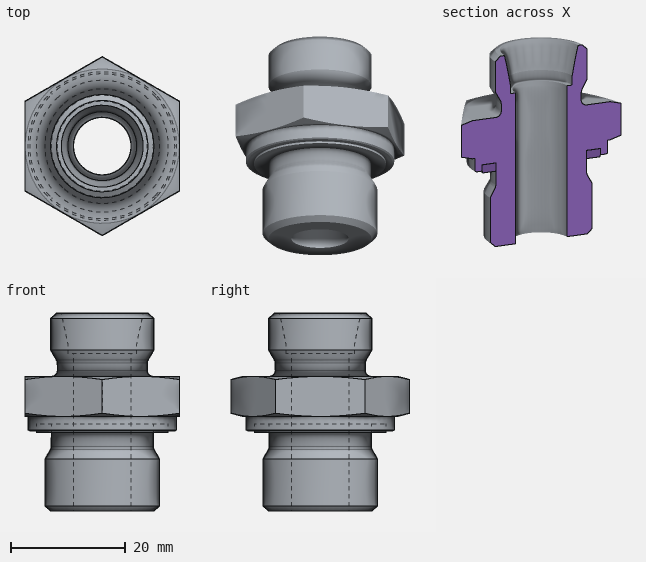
import cadquery as cq
import math

TOTAL_HEIGHT = 34.5
HEX_BOTTOM = 16.5
HEX_TOP = 23.5
FLANGE_BOTTOM = 14.0
STUD_SHOULDER = 9.05
TUBE_END_SHOULDER = 28.1

HEX_WIDTH = 27.0
HEX_CHAMFER_DIAMETER = 26.9
HEX_CHAMFER_ANGLE = 15.0
HEX_TURN = 30.0
FLANGE_DIAMETER = 25.9
FLANGE_CHAMFER_WIDTH = 0.3
FLANGE_CHAMFER_HEIGHT = 0.17
STUD_DIAMETER = 20.0
STUD_NECK_DIAMETER = 17.8
TUBE_END_DIAMETER = 18.0
TUBE_NECK_DIAMETER = 15.7
RELIEF_ANGLE = 30.0
RELIEF_FILLET = 1.0
NECK_FILLET = 1.0
END_CHAMFER_WIDTH = 1.05
END_CHAMFER_HEIGHT = 0.9

BORE_DIAMETER = 10.0
SEAT_DIAMETER = 12.0
MOUTH_DIAMETER = 14.3
MOUTH_HALF_ANGLE = 12.0
SEAT_LENGTH = 1.7

RING_DIAMETER = 23.0
RING_HEIGHT = 1.5
RING_PROTRUSION = 0.35
RING_BOTTOM = FLANGE_BOTTOM - RING_PROTRUSION
RING_TOP = RING_BOTTOM + RING_HEIGHT


def cylinder(diameter, bottom, top):
    return cq.Workplane("XY").workplane(offset=bottom).circle(diameter / 2).extrude(top - bottom)


def tube(outer_diameter, inner_diameter, bottom, top):
    return cylinder(outer_diameter, bottom, top).cut(cylinder(inner_diameter, bottom, top))


def revolve_profile(points):
    """Revolve a closed (radius, height) outline about Z."""
    return cq.Workplane("XZ").polyline(points).close().revolve(360, (0, 0), (0, 1))


def circles_at(height):
    """Select the edges lying at one height."""
    tolerance = 0.005
    reach = TOTAL_HEIGHT
    return cq.selectors.BoxSelector(
        (-reach, -reach, height - tolerance), (reach, reach, height + tolerance), boundingbox=True
    )


def make_hexagon():
    corner_radius = HEX_WIDTH / math.sqrt(3)
    flat_radius = HEX_CHAMFER_DIAMETER / 2
    outer_radius = HEX_WIDTH
    drop = (outer_radius - flat_radius) * math.tan(math.radians(HEX_CHAMFER_ANGLE))
    prism = (
        cq.Workplane("XY").workplane(offset=HEX_BOTTOM)
        .polygon(6, 2 * corner_radius).extrude(HEX_TOP - HEX_BOTTOM)
        .rotate((0, 0, 0), (0, 0, 1), HEX_TURN)
    )
    envelope = revolve_profile([
        (0, HEX_BOTTOM),
        (flat_radius, HEX_BOTTOM),
        (outer_radius, HEX_BOTTOM + drop),
        (outer_radius, HEX_TOP - drop),
        (flat_radius, HEX_TOP),
        (0, HEX_TOP),
    ])
    return prism.intersect(envelope)


def make_flange():
    radius = FLANGE_DIAMETER / 2
    return revolve_profile([
        (0, FLANGE_BOTTOM),
        (radius - FLANGE_CHAMFER_WIDTH, FLANGE_BOTTOM),
        (radius, FLANGE_BOTTOM + FLANGE_CHAMFER_HEIGHT),
        (radius, HEX_BOTTOM),
        (0, HEX_BOTTOM),
    ])


def relief_height(full_diameter, neck_diameter):
    return (full_diameter - neck_diameter) / 2 / math.tan(math.radians(RELIEF_ANGLE))


def make_stud():
    """Lower end: chamfered cylinder, relief cone and neck."""
    radius = STUD_DIAMETER / 2
    neck_radius = STUD_NECK_DIAMETER / 2
    neck_start = STUD_SHOULDER + relief_height(STUD_DIAMETER, STUD_NECK_DIAMETER)
    stud = revolve_profile([
        (0, 0),
        (radius - END_CHAMFER_WIDTH, 0),
        (radius, END_CHAMFER_HEIGHT),
        (radius, STUD_SHOULDER),
        (neck_radius, neck_start),
        (neck_radius, HEX_BOTTOM),
        (0, HEX_BOTTOM),
    ])
    return stud.edges(circles_at(neck_start)).fillet(RELIEF_FILLET)


def make_tube_end():
    """Upper end: neck, relief cone and chamfered cylinder."""
    radius = TUBE_END_DIAMETER / 2
    neck_radius = TUBE_NECK_DIAMETER / 2
    neck_end = TUBE_END_SHOULDER - relief_height(TUBE_END_DIAMETER, TUBE_NECK_DIAMETER)
    tube_end = revolve_profile([
        (0, HEX_TOP),
        (neck_radius, HEX_TOP),
        (neck_radius, neck_end),
        (radius, TUBE_END_SHOULDER),
        (radius, TOTAL_HEIGHT - END_CHAMFER_HEIGHT),
        (radius - END_CHAMFER_WIDTH, TOTAL_HEIGHT),
        (0, TOTAL_HEIGHT),
    ])
    return tube_end.edges(circles_at(neck_end)).fillet(RELIEF_FILLET)


def make_neck_fillet():
    """Concave ring blending the upper neck into the hexagon."""
    neck_radius = TUBE_NECK_DIAMETER / 2
    middle = NECK_FILLET * (1 - math.sqrt(0.5))
    return (
        cq.Workplane("XZ")
        .moveTo(0, HEX_TOP)
        .lineTo(neck_radius + NECK_FILLET, HEX_TOP)
        .threePointArc((neck_radius + middle, HEX_TOP + middle), (neck_radius, HEX_TOP + NECK_FILLET))
        .lineTo(0, HEX_TOP + NECK_FILLET)
        .close()
        .revolve(360, (0, 0), (0, 1))
    )


def make_passage():
    """Through bore, stepped tube seat and conical mouth."""
    mouth_radius = MOUTH_DIAMETER / 2
    seat_radius = SEAT_DIAMETER / 2
    bore_radius = BORE_DIAMETER / 2
    cone_depth = (mouth_radius - seat_radius) / math.tan(math.radians(MOUTH_HALF_ANGLE))
    seat_top = TOTAL_HEIGHT - cone_depth
    seat_bottom = seat_top - SEAT_LENGTH
    return revolve_profile([
        (0, 0),
        (bore_radius, 0),
        (bore_radius, seat_bottom),
        (seat_radius, seat_bottom),
        (seat_radius, seat_top),
        (mouth_radius, TOTAL_HEIGHT),
        (0, TOTAL_HEIGHT),
    ])


def make_seal_ring():
    return tube(RING_DIAMETER, STUD_NECK_DIAMETER, RING_BOTTOM, RING_TOP)


def make_fitting():
    fitting = make_hexagon().union(make_flange()).union(make_stud())
    fitting = fitting.union(make_neck_fillet()).union(make_tube_end())
    seal_groove = tube(RING_DIAMETER, STUD_NECK_DIAMETER, FLANGE_BOTTOM, RING_TOP)
    return fitting.cut(seal_groove).cut(make_passage())


fitting = make_fitting()
seal_ring = make_seal_ring()

result = cq.Compound.makeCompound([fitting.solids().val(), seal_ring.val()])